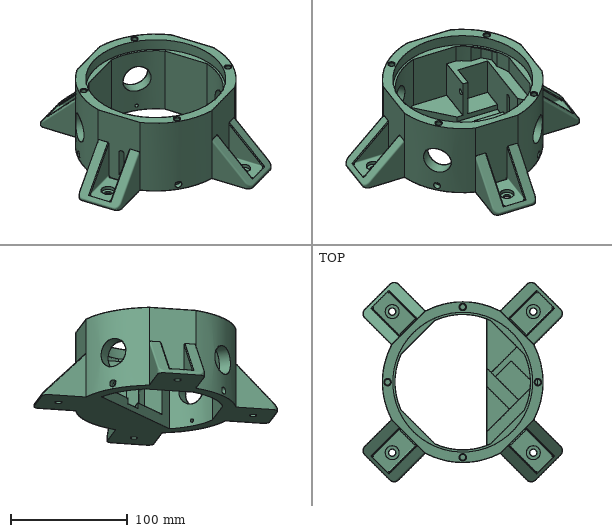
import cadquery as cq
import math

height = 70.0
outer_radius = 69.0
bore_radius = 58.0
seat_radius = 60.01
seat_depth = 10.0
flat_width = 41.0
seat_floor = height - seat_depth
outer_flat = math.sqrt(outer_radius**2 - (flat_width / 2) ** 2)
inner_flat = math.sqrt(bore_radius**2 - (flat_width / 2) ** 2)

port_diameter = 25.0
port_height = 32.5
lid_hole_diameter = 5.0
lid_hole_rim_diameter = 6.3
lid_hole_rim_depth = (lid_hole_rim_diameter - lid_hole_diameter) / 2
lid_hole_depth = 15.0
lid_hole_radius = (seat_radius + outer_radius) / 2
side_hole_diameter = 2.9
side_hole_head_diameter = 6.0
side_hole_head_depth = 5.0
side_hole_height = 5.0

foot_tip = 103.5
foot_tip_height = 1.9
foot_root = outer_flat - 3.5
foot_corner_radius = 5.1
foot_edge_fillet = 1.4
foot_pocket_width = 20.0
foot_pocket_end = 101.2
foot_floor = 5.0
foot_floor_fillet = 1.0
foot_floor_groove = 1.4
foot_hole_diameter = 6.0
foot_hole_head_diameter = 12.0
foot_hole_head_depth = 3.0
foot_hole_radius = 85.6
pocket_rim_chamfer = 0.9

plate_edge = 20.5
plate_top = 10.0
block_top = 44.2
block_front = 23.1
block_side = 11.5
pocket_side = 16.5
pocket_end = 42.3
pocket_far_side = 44.7
channel_start = 12.0
channel_floor = 5.0
relief_reach = 48.6
relief_radius = 64.0
relief_roof = 1.0

cable_width = 5.0
cable_height = 32.5
cable_slot_center = cable_width / 2
cable_slot_bottom = plate_top
cable_hole_along = 27.4

overlap = 0.09
overrun = 1.7


def cylinder(radius, bottom, top):
    return cq.Workplane("XY").workplane(offset=bottom).circle(radius).extrude(top - bottom)


def turned(shape, angle):
    return shape.rotate((0, 0, 0), (0, 0, 1), angle)


def turned_box(along, across, bottom, top):
    """Box between two distances along and across, turned 45 degrees about Z."""
    box = cq.Workplane("XY").box(
        along[1] - along[0], across[1] - across[0], top - bottom, centered=False
    )
    return turned(box.translate((along[0], -across[1], bottom)), 45)


def box_from(start, length, width, bottom, top):
    """Box centred on the X axis that starts at a given X."""
    box = cq.Workplane("XY").box(length, width, top - bottom, centered=(False, True, False))
    return box.translate((start, 0, bottom))


def flatted_cylinder(radius, flat, bottom, top):
    """Upright cylinder with four flats at 45 degrees to X and Y."""
    square = turned_box((-flat, flat), (-flat, flat), bottom, top)
    return cylinder(radius, bottom, top).intersect(square)


def radial_cylinder(diameter, start, end, level):
    """Cylinder lying along +X between two distances from the axis."""
    side = cq.Workplane("YZ").workplane(offset=start).center(0, level)
    return side.circle(diameter / 2).extrude(end - start)


def make_ring():
    """Housing wall with a bore and a wider lid seat at the top."""
    ring = flatted_cylinder(outer_radius, outer_flat, 0, height)
    ring = ring.cut(flatted_cylinder(bore_radius, inner_flat, 0, seat_floor))
    return ring.cut(cylinder(seat_radius, seat_floor, height))


def make_floor():
    """Floor plate on the +X side with the raised block and the channel in front of it."""
    reach = 2 * outer_radius
    bore = flatted_cylinder(bore_radius + overlap, inner_flat + overlap, 0, seat_floor)
    plate = box_from(plate_edge, reach, reach, 0, plate_top)
    block = turned_box((-outer_radius, outer_radius), (block_side, outer_radius), 0, block_top)
    block = block.cut(
        turned_box((-outer_radius, block_front), (0, pocket_far_side), 0, block_top)
    )
    block = block.intersect(box_from(plate_edge, reach, reach, 0, height))
    floor = plate.union(block).intersect(bore)
    channel = turned_box(
        (channel_start, block_front), (-outer_radius, pocket_far_side), channel_floor, plate_top
    )
    return floor.cut(channel)


def block_pocket():
    return turned_box(
        (block_front, pocket_end), (pocket_side, pocket_far_side), plate_top, block_top
    )


def wall_relief():
    """Square-cornered recess in the +X wall above the block."""
    relief = turned_box((0, relief_reach), (0, relief_reach), block_top, seat_floor - relief_roof)
    return relief.intersect(cylinder(relief_radius, 0, height))


def foot_pocket(top):
    """Pocket between the ribs, rounded along the floor except at the ring."""
    pocket = box_from(0, foot_pocket_end - outer_flat, foot_pocket_width, 0, top)
    pocket = pocket.faces("<Z").edges("not <X").fillet(foot_floor_fillet)
    return pocket.translate((outer_flat, 0, foot_floor))


def foot_rim(top):
    """Bevel around the pocket opening, sunk square into the slope of the ribs."""
    length = 2 * (top - foot_floor)
    front = (foot_tip + foot_tip_height - foot_floor, 0, foot_floor)
    plane = cq.Plane(front, xDir=(-1, 0, 1), normal=(-1, 0, -1))
    rim = cq.Workplane(plane).center(length / 2, 0)
    rim = rim.rect(length, foot_pocket_width + 2 * pocket_rim_chamfer)
    return rim.extrude(pocket_rim_chamfer, taper=45)


def foot_groove():
    """Bevel of the pocket floor where it meets the ring."""
    profile = [
        (outer_flat, foot_floor - foot_floor_groove),
        (outer_flat + foot_floor_groove, foot_floor),
        (outer_flat, foot_floor),
    ]
    width = foot_pocket_width - 2 * foot_floor_fillet
    return cq.Workplane("XZ").polyline(profile).close().extrude(width / 2, both=True)


def make_foot():
    """Foot along +X: two sloping ribs around a pocket with a screw hole."""
    root_height = foot_tip_height + foot_tip - foot_root
    profile = [
        (foot_root, 0),
        (foot_tip, 0),
        (foot_tip, foot_tip_height),
        (foot_root, root_height),
    ]
    foot = cq.Workplane("XZ").polyline(profile).close().extrude(flat_width / 2, both=True)
    foot = foot.edges("|Z and >X").fillet(foot_corner_radius)
    slope = cq.selectors.DirectionNthSelector(cq.Vector(1, 0, 1), -1)
    foot = foot.faces(slope).edges().fillet(foot_edge_fillet)
    foot = foot.cut(foot_pocket(root_height))
    foot = foot.cut(foot_rim(root_height))
    foot = foot.cut(foot_groove())
    hole = cylinder(foot_hole_diameter / 2, 0, foot_floor)
    head = cylinder(foot_hole_head_diameter / 2, foot_floor - foot_hole_head_depth, foot_floor)
    return foot.cut(hole.union(head).translate((foot_hole_radius, 0, 0)))


def lid_hole():
    """Blind screw hole in the top face with a conical rim."""
    hole = cylinder(lid_hole_diameter / 2, height - lid_hole_depth, height)
    rim = cq.Workplane("XY").workplane(offset=height).circle(lid_hole_rim_diameter / 2)
    rim = rim.workplane(offset=-lid_hole_rim_depth).circle(lid_hole_diameter / 2).loft()
    return hole.union(rim).translate((lid_hole_radius, 0, 0))


def side_hole():
    """Counterbored screw hole through the wall near the bottom."""
    hole = radial_cylinder(
        side_hole_diameter, bore_radius - overrun, outer_radius, side_hole_height
    )
    head_start = outer_radius - side_hole_head_depth
    head = radial_cylinder(
        side_hole_head_diameter, head_start, outer_radius + overrun, side_hole_height
    )
    return hole.union(head)


def cable_slot():
    """Upright slot with a round top through the wall behind one foot."""
    start = pocket_far_side - overrun
    end = outer_flat + overrun
    top = radial_cylinder(cable_width, start, end, cable_height)
    stem = box_from(start, end - start, cable_width, cable_slot_bottom, cable_height)
    return turned(top.union(stem).translate((0, cable_slot_center, 0)), -45)


def cable_hole():
    """Round hole through the thin side wall of the block."""
    hole = radial_cylinder(cable_width, block_side - overrun, pocket_side + overrun, cable_height)
    return turned(hole.translate((0, cable_hole_along, 0)), -45)


body = make_ring().union(make_floor())
body = body.cut(block_pocket())
body = body.cut(wall_relief())

foot = make_foot()
for angle in (45, 135, 225, 315):
    body = body.union(turned(foot, angle))

port = radial_cylinder(port_diameter, inner_flat - overrun, outer_radius + overrun, port_height)
for angle in (90, 180, 270):
    body = body.cut(turned(port, angle))

for angle in (0, 90, 180, 270):
    body = body.cut(turned(lid_hole(), angle))
    body = body.cut(turned(side_hole(), angle))

body = body.cut(cable_slot())
result = body.cut(cable_hole())